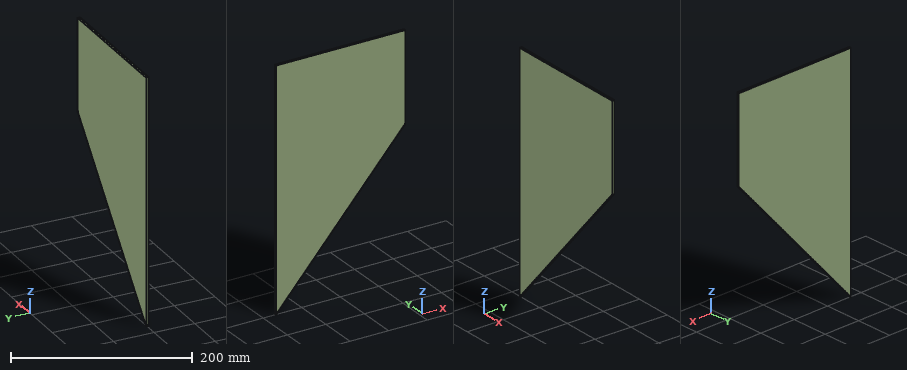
import cadquery as cq

width = 167.5
thickness = 3.0
long_side = 304.8
short_side = 114.5

outline = [
    (0, 0),
    (0, long_side),
    (width, long_side),
    (width, long_side - short_side),
]

result = cq.Workplane("XZ").polyline(outline).close().extrude(-thickness)